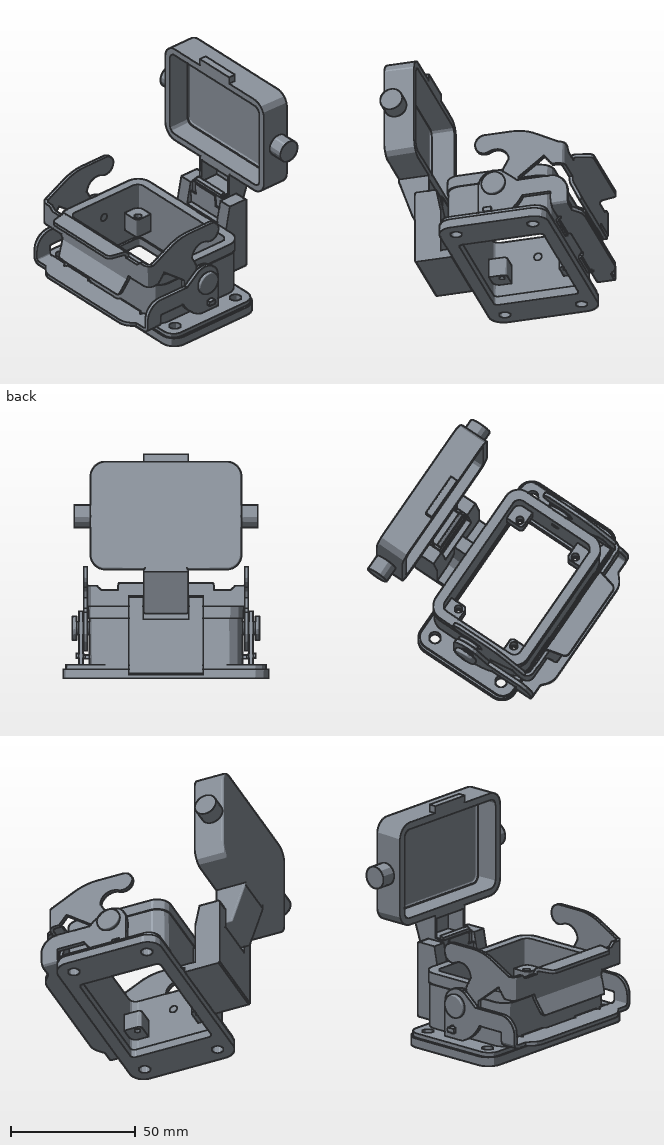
import cadquery as cq
import math


flange_width, flange_depth, flange_height = 82.5, 45.45, 3.8
step_width, step_top = 80.4, 5.6
body_width, body_depth, body_top = 61.6, 44.1, 29.0
lip_width, lip_depth, lip_bottom = 62.4, 44.55, 24.1
corner_radius = 6.1
step_corner_radius = 4.95
cavity_width, cavity_depth, cavity_radius = 54.6, 36.5, 3.0
opening_width, opening_depth, opening_radius = 52.2, 35.4, 1.7
screw_hole_x, screw_hole_y, screw_hole_radius = 34.9, 16.0, 2.3

post_inner_x, post_inner_y = 19.7, 10.9
post_bottom, post_top = 9.6, 17.7
post_edge_radius = 1.4
post_hole_x, post_hole_y = 22.0, 13.4
post_hole_radius, post_bore_radius, post_bore_depth = 1.2, 1.5, 6.3

hinge_half_width = 14.9
hinge_back, hinge_front = 39.15, 28.35
hinge_bottom, hinge_top = 1.5, 33.2
hinge_top_front = 30.2
hinge_foot_front = 23.8
hinge_foot_top = 5.2
hinge_chamfer = 0.5
web_half_width, web_top = 2.8, 22.8
web_fillet = 7.9
slot_half_width, slot_floor = 9.2, 23.7
tongue_half_width, tongue_shoulder, tongue_top = 6.0, 29.1, 34.2
tongue_front, tongue_lean, tongue_thickness = 30.7, 0.8, 0.5

cover_width = 60.75
cover_front, cover_back = 35.0, 47.7
cover_bottom, cover_top = 43.65, 87.0
cover_edge_radius = 0.8
cover_rim = 2.9
pocket_depth, pocket_floor_radius = 10.2, 0.8
pocket_ledge, pocket_ledge_depth = 0.4, 9.3
tab_half_width, tab_thickness, tab_top = 9.0, 3.1, 90.0
peg_radius, peg_tip_x = 4.6, 36.9
peg_y, peg_z = 42.7, 65.1
arm_bottom, arm_bottom_back = 26.0, 41.9
knuckle_front, knuckle_top = 31.3, 34.2
recess_half_width, recess_back = 8.0, 43.1
recess_top, recess_floor = 42.2, 32.1
crest_back, crest_front, crest_top = 33.2, 31.6, 35.3

pivot_z = 20.2

lever_sheet = 1.4
lever_half_width = 33.0
lever_front = -28.4
lever_bend_radius = 3.15
hook_nose_y, hook_nose_z, hook_nose_radius = 4.6, 40.7, 4.1
hook_seat_y, hook_seat_z, hook_seat_radius = -0.2, 32.4, 5.1
lever_back_radius = 21.3
lever_back_flat_end = -6.6
lever_back_slope = math.radians(30)
hub_radius = 6.3
handle_tip = -36.0
handle_top, handle_bend_radius = 38.3, 0.9
grip_corner_radius = 2.25
lip_angle, lip_length = math.radians(25), 7.3
lip_bend_radius, lip_bend_z = 1.8, 25.9
front_plate_top, front_plate_dip, front_plate_bottom = 37.3, 35.55, 27.45
dip_corner_radius = 0.7

bracket_sheet = 1.6
bracket_half_width = 34.9
bracket_round_radius = 6.8
bracket_arm_top, bracket_arm_bottom = 21.1, 13.9
foot_back, foot_front = -23.4, -30.3
foot_corner_radius = 0.6
plate_bottom = 7.8
plate_inner_edge, plate_outer_edge = -23.2, -33.8
bend_radius = 2.6
slot_end = -24.5
grip_inner_x, grip_outer_x, grip_bottom = 9.6, 22.4, 6.75
lug_y, lug_z, lug_radius = 2.8, 9.1, 1.7
lug_height, lug_length = 1.9, 1.2

pin_radius, pin_shank_radius = 2.6, 1.6
pin_head_radius, pin_head_edge = 4.9, 0.5
pin_head_inner_x, pin_head_outer_x = 35.8, 37.6


def block(x0, x1, y0, y1, z0, z1):
    """Box between two opposite corners."""
    return cq.Workplane("XY").box(x1 - x0, y1 - y0, z1 - z0, centered=False).translate((x0, y0, z0))


def upright(width, depth, radius, z0, z1):
    """Rounded rectangle centred on the Z axis, from z0 up to z1."""
    return (
        cq.Workplane("XY", origin=(0, 0, z0)).rect(width, depth).extrude(z1 - z0)
        .edges("|Z").fillet(radius)
    )


def rod(radius, y, z, x0, x1):
    """Round bar along X."""
    return cq.Workplane("YZ", origin=(x0, 0, 0)).center(y, z).circle(radius).extrude(x1 - x0)


def side_sketch(x0):
    """Sketch plane facing +X, with Y and Z as its axes."""
    return cq.Workplane("YZ", origin=(x0, 0, 0))


def both_sides(shape):
    """The shape together with its mirror image across the YZ plane."""
    return shape.union(shape.mirror("YZ"))


def mirrored_outline(points):
    """Closed outline from its +X half, listed from one end on the axis side to the other."""
    return points + [(-x, v) for x, v in reversed(points)]




def make_screw_post():
    """Corner post at +X, +Y, with a stepped screw hole."""
    post = block(
        post_inner_x, cavity_width / 2 + 0.9, post_inner_y, cavity_depth / 2 + 0.9, post_bottom, post_top
    )
    post = post.edges("|Z and <X and <Y").fillet(post_edge_radius)
    return (
        post.faces(">Z").workplane(origin=(post_hole_x, post_hole_y, 0))
        .cboreHole(2 * post_hole_radius, 2 * post_bore_radius, post_bore_depth)
    )


def make_hinge_block():
    """Two cheeks with a slot for the cover arm, joined to the body by a flared web."""
    wall = body_depth / 2
    cheeks = (
        side_sketch(-hinge_half_width)
        .polyline([
            (hinge_back, hinge_bottom), (hinge_back, hinge_top), (hinge_top_front, hinge_top),
            (hinge_front, slot_floor), (hinge_front, hinge_foot_top), (wall - 0.9, hinge_foot_top),
            (wall - 0.9, flange_height), (hinge_foot_front, flange_height), (hinge_foot_front, hinge_bottom),
        ])
        .close().extrude(2 * hinge_half_width)
        .edges("|X and >Y").chamfer(hinge_chamfer)
    )
    flare_x, flare_z = web_half_width + web_fillet, hinge_foot_top + web_fillet
    mid_offset = web_fillet * math.sqrt(0.5)
    web = (
        cq.Workplane("XZ", origin=(0, hinge_front, 0))
        .moveTo(-flare_x, hinge_foot_top)
        .threePointArc((-flare_x + mid_offset, flare_z - mid_offset), (-web_half_width, flare_z))
        .lineTo(-web_half_width, web_top).lineTo(web_half_width, web_top).lineTo(web_half_width, flare_z)
        .threePointArc((flare_x - mid_offset, flare_z - mid_offset), (flare_x, hinge_foot_top))
        .close().extrude(hinge_front - wall + 0.9)
    )
    slot = block(
        -slot_half_width, slot_half_width, hinge_front - 0.9, hinge_back + 0.9, slot_floor, hinge_top + 0.9
    )
    tongue = (
        side_sketch(-slot_half_width)
        .polyline([
            (tongue_front, slot_floor - 0.9), (tongue_front, slot_floor),
            (tongue_front - tongue_lean, tongue_top),
            (tongue_front - tongue_lean + tongue_thickness, tongue_top),
            (tongue_front + tongue_thickness, slot_floor), (tongue_front + tongue_thickness, slot_floor - 0.9),
        ])
        .close().extrude(2 * slot_half_width)
    )
    shoulder = block(
        tongue_half_width, slot_half_width, hinge_front, hinge_back, tongue_shoulder, tongue_top + 0.9
    )
    tongue = tongue.cut(both_sides(shoulder))
    return cheeks.cut(slot).union(web).union(tongue)


def make_housing():
    shell = (
        upright(flange_width, flange_depth, corner_radius, 0, flange_height)
        .union(upright(step_width, body_depth, step_corner_radius, flange_height, step_top))
        .union(upright(body_width, body_depth, corner_radius, step_top, body_top))
        .union(upright(lip_width, lip_depth, corner_radius, lip_bottom, body_top))
        .union(make_hinge_block())
        .cut(upright(cavity_width, cavity_depth, cavity_radius, flange_height, body_top + 0.9))
        .cut(upright(opening_width, opening_depth, opening_radius, -0.9, flange_height + 0.9))
    )
    post = both_sides(make_screw_post())
    corner_fill = upright(body_width, body_depth, corner_radius, 0, body_top)
    shell = shell.union(post.union(post.mirror("XZ")).intersect(corner_fill))
    screw_holes = (
        cq.Workplane("XY").rect(2 * screw_hole_x, 2 * screw_hole_y, forConstruction=True).vertices()
        .circle(screw_hole_radius).extrude(step_top + 0.9)
    )
    pin_holes = rod(pin_shank_radius, 0, pivot_z, -body_width, body_width)
    return shell.cut(screw_holes).cut(pin_holes)




def make_cover_arm():
    """Hollow hinge arm hanging below the cover, ending in a knuckle inside the hinge slot."""
    slant_top = cover_bottom - 0.9
    root = cover_bottom + 1.8
    arm = (
        side_sketch(-tab_half_width)
        .polyline([
            (cover_front, root), (cover_back, root), (cover_back, slant_top),
            (arm_bottom_back, arm_bottom), (knuckle_front, arm_bottom), (knuckle_front, knuckle_top - 0.5),
            (cover_front, knuckle_top),
        ])
        .close().extrude(2 * tab_half_width)
    )
    outer_edges = arm.faces("<Z or >Y or >(0,1,-0.5)").edges("not |X")
    arm = outer_edges.add(arm.faces("<Z").edges(">Y")).fillet(cover_edge_radius)
    crest = (
        side_sketch(-recess_half_width)
        .polyline([
            (crest_back, recess_floor - 0.9), (crest_back, crest_top), (crest_front, crest_top - 0.5),
            (knuckle_front, knuckle_top - 0.7), (knuckle_front, recess_floor - 0.9),
        ])
        .close().extrude(2 * recess_half_width)
    )
    recess = block(
        -recess_half_width, recess_half_width, crest_back, recess_back, recess_floor, recess_top
    )
    return arm.union(crest).cut(recess)


def pocket_prism(inset, depth):
    """Rounded block filling the cover's opening, inset from the rim and cut to a depth."""
    width = cover_width - 2 * (cover_rim + inset)
    height = cover_top - cover_bottom - 2 * (cover_rim + inset)
    return (
        cq.Workplane("XZ", origin=(0, cover_front + depth, (cover_bottom + cover_top) / 2))
        .rect(width, height).extrude(depth)
        .edges("|Y").fillet(cavity_radius - inset)
    )


def make_cover():
    shell = (
        cq.Workplane("XZ", origin=(0, cover_back, (cover_bottom + cover_top) / 2))
        .rect(cover_width, cover_top - cover_bottom)
        .extrude(cover_back - cover_front)
        .edges("|Y").fillet(corner_radius)
        .faces(">Y").edges().fillet(cover_edge_radius)
    )
    tab = block(
        -tab_half_width, tab_half_width, cover_front, cover_front + tab_thickness, cover_top - 0.9, tab_top
    )
    pegs = rod(peg_radius, peg_y, peg_z, -peg_tip_x, peg_tip_x)
    pocket = pocket_prism(pocket_ledge, pocket_depth).faces(">Y").edges().fillet(pocket_floor_radius)
    pocket = pocket.union(pocket_prism(0, pocket_ledge_depth))
    return shell.union(tab).union(pegs).cut(pocket).union(make_cover_arm())




def lever_side_profile():
    """Side outline of the lever: hook, hub around the pivot and front plate."""
    nose_top = hook_nose_z + hook_nose_radius
    span = math.hypot(hook_seat_y - hook_nose_y, hook_seat_z - hook_nose_z)
    share = hook_nose_radius / span
    seat_start = (
        hook_nose_y + share * (hook_seat_y - hook_nose_y),
        hook_nose_z + share * (hook_seat_z - hook_nose_z),
    )
    seat_middle = (
        hook_seat_y - hook_seat_radius * math.sin(lever_back_slope),
        hook_seat_z + hook_seat_radius * math.cos(lever_back_slope),
    )
    seat_end = (hook_seat_y - hook_seat_radius, hook_seat_z)

    def back_point(angle):
        return (
            lever_back_flat_end - lever_back_radius * math.sin(angle),
            nose_top - lever_back_radius * (1 - math.cos(angle)),
        )

    heel_y, neck_y = -9.45, -3.0
    heel_radius, heel_bottom = 7.1, 11.1
    heel_z = heel_bottom + heel_radius
    heel_offset = heel_radius * math.sqrt(0.5)
    heel_center = heel_y + heel_radius
    tail_center = hub_radius - heel_radius
    neck_z = pivot_z + math.sqrt(hub_radius**2 - neck_y**2)
    hub_offset = hub_radius * math.sqrt(0.5)
    return (
        side_sketch(-lever_half_width)
        .moveTo(hook_nose_y, nose_top)
        .lineTo(lever_back_flat_end, nose_top)
        .threePointArc(back_point(lever_back_slope / 2), back_point(lever_back_slope))
        .lineTo(-26.0, front_plate_top)
        .lineTo(lever_front, front_plate_top)
        .lineTo(lever_front, front_plate_bottom)
        .lineTo(-23.4, front_plate_bottom)
        .lineTo(-20.1, 31.7)
        .lineTo(heel_y, 23.5)
        .lineTo(heel_y, heel_z)
        .threePointArc((heel_center - heel_offset, heel_z - heel_offset), (heel_center, heel_bottom))
        .lineTo(tail_center, heel_bottom)
        .threePointArc((tail_center + heel_offset, heel_z - heel_offset), (hub_radius, heel_z))
        .lineTo(hub_radius, pivot_z)
        .threePointArc((hub_offset, pivot_z + hub_offset), (neck_y, neck_z))
        .lineTo(neck_y, 28.1)
        .lineTo(*seat_end)
        .threePointArc(seat_middle, seat_start)
        .threePointArc((hook_nose_y + hook_nose_radius, hook_nose_z), (hook_nose_y, nose_top))
        .close()
    )


def make_lever_strap():
    """U-shaped strip: two hooked arms joined by the front plate."""
    arm_end = 18.0
    tall = 54.0

    def plan(inset):
        half, front = lever_half_width - inset, lever_front + inset
        return (
            block(-half, half, front, arm_end + inset, 0, tall)
            .edges("|Z and <Y").fillet(lever_bend_radius - inset)
        )

    strap = plan(0).cut(plan(lever_sheet))
    strap = strap.intersect(lever_side_profile().extrude(2 * lever_half_width))
    dip = (
        cq.Workplane("XZ", origin=(0, lever_front + lever_sheet + 0.9, 0))
        .polyline(mirrored_outline([(29.7, front_plate_top + 1.8), (26.0, front_plate_dip)]))
        .close().extrude(lever_sheet + 1.8)
        .edges("|Y and <Z").fillet(dip_corner_radius)
    )
    dip_shoulder = cq.selectors.BoxSelector(
        (27.0, lever_front - 0.9, front_plate_top - 0.1), (28.8, lever_front + 2.7, front_plate_top + 0.1)
    )
    return both_sides(strap.cut(dip).edges(dip_shoulder).edges("|Y").fillet(dip_corner_radius).intersect(
        block(0, lever_half_width, lever_front, -lever_front, 0, tall)
    ))


def make_handle():
    """Tapered grip bent forward from the top of the front plate."""
    back = lever_front + lever_sheet
    bend_y = lever_front - handle_bend_radius
    bend_z = handle_top - lever_sheet - handle_bend_radius
    outer, inner = handle_bend_radius + lever_sheet, handle_bend_radius
    diagonal = math.sqrt(0.5)
    half_width = 19.8
    strip = (
        side_sketch(-half_width)
        .moveTo(back, front_plate_dip - 0.9)
        .lineTo(back, bend_z)
        .threePointArc((bend_y + outer * diagonal, bend_z + outer * diagonal), (bend_y, handle_top))
        .lineTo(handle_tip, handle_top)
        .lineTo(handle_tip, handle_top - lever_sheet)
        .lineTo(bend_y, handle_top - lever_sheet)
        .threePointArc((bend_y + inner * diagonal, bend_z + inner * diagonal), (lever_front, bend_z))
        .lineTo(lever_front, front_plate_dip - 0.9)
        .close().extrude(2 * half_width)
    )
    taper = (
        cq.Workplane("XY")
        .polyline(mirrored_outline([(19.35, back), (17.2, handle_tip)]))
        .close().extrude(handle_top + 0.9)
        .edges("|Z and <Y").fillet(grip_corner_radius)
    )
    return strip.intersect(taper)


def make_lip():
    """Tapered lip leaning outward below the front plate."""
    half_width = 20.7
    bend_y = lever_front - lip_bend_radius

    def on_bend(radius, angle, beyond=0.0):
        """Point on the lip's bend, or beyond its end along the tangent."""
        return (
            bend_y + radius * math.cos(angle) - beyond * math.sin(angle),
            lip_bend_z - radius * math.sin(angle) - beyond * math.cos(angle),
        )

    outer, inner = lip_bend_radius + lever_sheet, lip_bend_radius
    strip = (
        side_sketch(-half_width)
        .moveTo(lever_front + lever_sheet, front_plate_bottom + 0.9)
        .lineTo(*on_bend(outer, 0))
        .threePointArc(on_bend(outer, lip_angle / 2), on_bend(outer, lip_angle))
        .lineTo(*on_bend(outer, lip_angle, lip_length))
        .lineTo(*on_bend(inner, lip_angle, lip_length))
        .lineTo(*on_bend(inner, lip_angle))
        .threePointArc(on_bend(inner, lip_angle / 2), on_bend(inner, 0))
        .lineTo(lever_front, front_plate_bottom + 0.9)
        .close().extrude(2 * half_width)
    )
    lip_end = on_bend(outer, lip_angle, lip_length)[1]
    taper = (
        cq.Workplane("XZ")
        .polyline(mirrored_outline([
            (20.6, front_plate_bottom + 0.9), (20.6, front_plate_bottom), (20.0, lip_bend_z), (18.2, lip_end),
        ]))
        .close().extrude(-2 * lever_front)
        .edges("|Y and <Z").fillet(grip_corner_radius)
    )
    return strip.intersect(taper)


def make_lever():
    pivot_holes = rod(pin_radius, 0, pivot_z, -lever_half_width, lever_half_width)
    return make_lever_strap().union(make_handle()).union(make_lip()).cut(pivot_holes)




def make_bracket_side():
    """Side plate at -X: round top about the pivot, lower lobe and an arm down to the foot."""
    radius = bracket_round_radius
    arm_radius = bracket_arm_top - bracket_arm_bottom
    bend_y, bend_z = foot_front + arm_radius, bracket_arm_bottom
    diagonal = math.sqrt(0.5)
    shoulder_angle = math.radians(60)
    shoulder = (-radius * math.cos(shoulder_angle), pivot_z + radius * math.sin(shoulder_angle))
    bend_top = plate_bottom + bend_radius
    side = (
        side_sketch(-bracket_half_width)
        .moveTo(radius, step_top)
        .lineTo(radius, pivot_z)
        .threePointArc((radius * diagonal, pivot_z + radius * diagonal), shoulder)
        .lineTo(-9.45, bracket_arm_top)
        .lineTo(bend_y, bracket_arm_top)
        .threePointArc(
            (bend_y - arm_radius * diagonal, bend_z + arm_radius * diagonal), (foot_front, bend_z)
        )
        .lineTo(foot_front, bend_top)
        .lineTo(foot_back, bend_top)
        .lineTo(foot_back, bracket_arm_bottom)
        .lineTo(-11.6, bracket_arm_bottom)
        .threePointArc((-7.6, 8.6), (-2.5, step_top))
        .close().extrude(bracket_sheet)
    )
    inner_corner = cq.selectors.BoxSelector(
        (-bracket_half_width - 0.9, foot_back - 0.1, bracket_arm_bottom - 0.1),
        (0, foot_back + 0.1, bracket_arm_bottom + 0.1),
    )
    side = side.edges(inner_corner).fillet(foot_corner_radius)
    hole = rod(lug_radius, lug_y, lug_z, -bracket_half_width - 0.9, -bracket_half_width + bracket_sheet + 0.9)
    lug = rod(
        lug_radius, lug_y, lug_z, -bracket_half_width - lug_length, -bracket_half_width + bracket_sheet
    )
    lug_band = block(
        -2 * bracket_half_width, 0, lug_y - lug_radius, lug_y + lug_radius,
        lug_z - lug_height / 2, lug_z + lug_height / 2,
    )
    return side.cut(hole).union(lug.intersect(lug_band))


def make_bracket_bend():
    """Rounded corners between the side plates and the front plate."""
    bend_top = plate_bottom + bend_radius

    def channel(inset):
        half = bracket_half_width - inset
        return (
            block(-half, half, foot_front, foot_back, plate_bottom + inset, 2 * bend_top)
            .edges("|Y and <Z").fillet(bend_radius - inset)
        )

    corner = block(
        bracket_half_width - bend_radius, bracket_half_width, foot_front, foot_back, plate_bottom, bend_top
    )
    return channel(0).cut(channel(bracket_sheet)).intersect(both_sides(corner))


def make_bracket_plate():
    """Front plate with a waved outer edge, a middle slot and relief notches beside its grips."""
    flat_half_width = bracket_half_width - bend_radius
    half_plate = (
        cq.Workplane("XY", origin=(0, 0, plate_bottom))
        .moveTo(0, plate_inner_edge)
        .lineTo(flat_half_width, plate_inner_edge)
        .lineTo(flat_half_width, foot_front)
        .lineTo(27.9, foot_front)
        .lineTo(25.8, -32.1)
        .tangentArcPoint((21.2, plate_outer_edge), relative=False)
        .lineTo(0, plate_outer_edge)
        .close().extrude(bracket_sheet)
    )
    plate = both_sides(half_plate)
    slot = (
        block(-grip_inner_x, grip_inner_x, slot_end, plate_inner_edge + 1.8, 0, 2 * plate_bottom)
        .edges("|Z and <Y").fillet(1.1)
    )
    notch = (
        cq.Workplane("XY")
        .polyline([
            (grip_outer_x, plate_inner_edge + 0.9), (grip_outer_x, -23.85), (23.0, slot_end),
            (23.6, slot_end), (24.5, plate_inner_edge), (24.5, plate_inner_edge + 0.9),
        ])
        .close().extrude(2 * plate_bottom)
    )
    return plate.cut(slot).cut(both_sides(notch))


def make_grip():
    """Tab at +X, bent down from the inner edge of the plate toward the housing wall."""
    plate_top = plate_bottom + bracket_sheet
    wall = -body_depth / 2
    return (
        side_sketch(grip_inner_x)
        .polyline([
            (plate_inner_edge - 0.2, plate_top), (wall - 0.2, 7.5), (wall - 0.2, grip_bottom),
            (wall - 1.2, grip_bottom), (plate_inner_edge - 0.2, plate_bottom),
        ])
        .close().extrude(grip_outer_x - grip_inner_x)
    )


def make_pin():
    """Pivot pin at +X: shank in the housing wall, thicker neck and a round-edged head."""
    shank = rod(pin_shank_radius, 0, pivot_z, cavity_width / 2, pin_head_inner_x)
    neck = rod(pin_radius, 0, pivot_z, body_width / 2, pin_head_inner_x)
    head = (
        rod(pin_head_radius, 0, pivot_z, pin_head_inner_x, pin_head_outer_x)
        .edges().fillet(pin_head_edge)
    )
    return shank.union(neck).union(head)


def make_bracket():
    return (
        make_bracket_bend()
        .union(make_bracket_plate())
        .union(both_sides(make_bracket_side()))
        .union(both_sides(make_grip()))
        .union(both_sides(make_pin()))
    )


housing = make_housing()
cover = make_cover()
lever = make_lever()
bracket = make_bracket()

result = cq.Compound.makeCompound([housing.val(), cover.val(), lever.val(), bracket.val()])